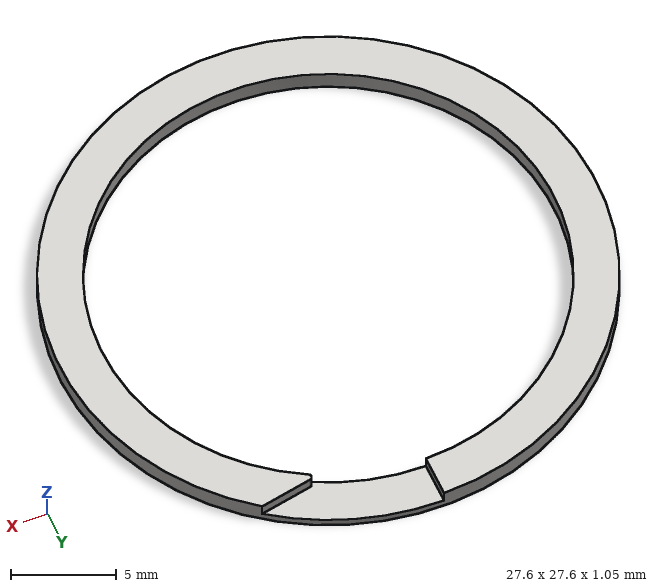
import cadquery as cq

outer_diameter = 27.55
inner_diameter = 23.2
thickness = 1.05
gap_depth = 0.6

slant_inner = (5.1, 10.47)
slant_outer = (8.2, 11.08)
tip_radius = 0.17

outer_radius = outer_diameter / 2
inner_radius = inner_diameter / 2
floor_height = thickness - gap_depth
overrun = 1.38


def ring(height):
    return cq.Workplane("XY").circle(outer_radius).circle(inner_radius).extrude(height)


def gap_cutter():
    """Block between the two ends, with the slanted side extended past the ring."""
    slope = (slant_outer[1] - slant_inner[1]) / (slant_outer[0] - slant_inner[0])

    def on_slant(x):
        return (x, slant_inner[1] + slope * (x - slant_inner[0]))

    top_y = outer_radius + overrun
    right = on_slant(slant_outer[0] + overrun)
    return (
        cq.Workplane("XY")
        .workplane(offset=floor_height)
        .polyline([(0, top_y), (right[0], top_y), right, on_slant(0)])
        .close()
        .extrude(gap_depth)
    )


def upper_layer():
    """Open upper part of the ring, with its slanted tip rounded."""
    layer = ring(gap_depth).translate((0, 0, floor_height)).cut(gap_cutter())
    tip = cq.selectors.NearestToPointSelector((*slant_inner, floor_height + gap_depth / 2))
    return layer.edges("|Z").edges(tip).fillet(tip_radius)


result = ring(floor_height).union(upper_layer())